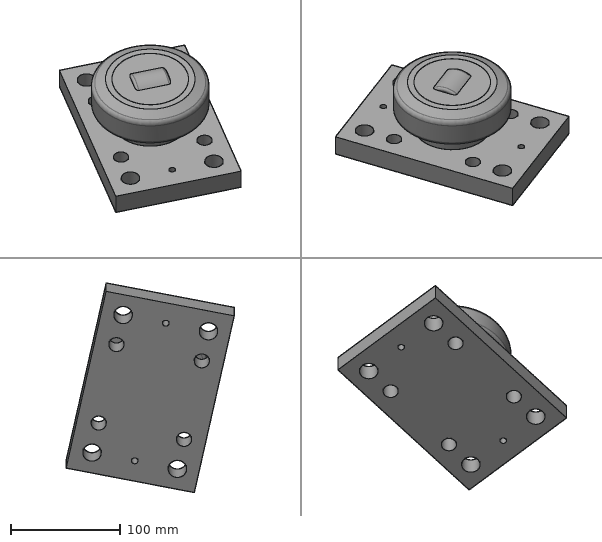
import cadquery as cq

PLATE_LENGTH = 180.0
PLATE_WIDTH = 120.0
PLATE_HEIGHT = 20.0

CORNER_HOLE_DIAMETER = 17.0
CORNER_SPACING_X = 140.0
CORNER_SPACING_Y = 80.0
INNER_HOLE_DIAMETER = 13.9
INNER_SPACING_X = 80.0
INNER_SPACING_Y = CORNER_SPACING_Y
PIN_HOLE_DIAMETER = 6.0

NECK_DIAMETER = 71.0
NECK_CHAMFER = 0.5

ROLLER_DIAMETER = 108.0
ROLLER_BOTTOM = 39.6
ROLLER_TOP = 71.3
TOP_FLAT_DIAMETER = 82.0
CONE_DROP = 5.5
CONE_FILLET = 5.2
BOTTOM_FILLET = 3.0

DISC_DIAMETER = 70.2
DISC_RISE = 0.2

KEY_TOP = 75.0
KEY_RADIUS = 21.6
KEY_LENGTH = 34.2
KEY_FILLET = 2.5


def make_plate():
    """Plate with four corner holes, four inner holes and two pin holes."""
    plate = cq.Workplane("XY").box(
        PLATE_LENGTH, PLATE_WIDTH, PLATE_HEIGHT, centered=(True, True, False)
    )
    hole_patterns = (
        (CORNER_HOLE_DIAMETER, CORNER_SPACING_X, CORNER_SPACING_Y, 2),
        (INNER_HOLE_DIAMETER, INNER_SPACING_X, INNER_SPACING_Y, 2),
        (PIN_HOLE_DIAMETER, CORNER_SPACING_X, CORNER_SPACING_Y, 1),
    )
    for diameter, spacing_x, spacing_y, rows in hole_patterns:
        holes = (
            cq.Workplane("XY")
            .rarray(spacing_x, spacing_y, 2, rows)
            .circle(diameter / 2)
            .extrude(PLATE_HEIGHT)
        )
        plate = plate.cut(holes)
    return plate


def make_neck():
    """Round neck from the plate to the roller, chamfered at both ends."""
    return (
        cq.Workplane("XY", origin=(0, 0, PLATE_HEIGHT))
        .circle(NECK_DIAMETER / 2)
        .extrude(ROLLER_BOTTOM - PLATE_HEIGHT)
        .edges("%CIRCLE")
        .chamfer(NECK_CHAMFER)
    )


def make_roller():
    """Roller with a rounded lower edge, a conical upper edge and a raised disc."""
    cone_base = ROLLER_TOP - CONE_DROP
    radius = ROLLER_DIAMETER / 2
    roller = (
        cq.Workplane("XZ")
        .moveTo(0, ROLLER_BOTTOM)
        .lineTo(radius, ROLLER_BOTTOM)
        .lineTo(radius, cone_base)
        .lineTo(TOP_FLAT_DIAMETER / 2, ROLLER_TOP)
        .lineTo(0, ROLLER_TOP)
        .close()
        .revolve(360, (0, 0), (0, 1))
    )
    roller = roller.faces("<Z").edges("%CIRCLE").fillet(BOTTOM_FILLET)
    roller = roller.faces("%CONE").edges("%CIRCLE").edges("<Z").fillet(CONE_FILLET)
    disc = (
        cq.Workplane("XY", origin=(0, 0, ROLLER_TOP))
        .circle(DISC_DIAMETER / 2)
        .extrude(DISC_RISE)
    )
    return roller.union(disc)


def make_key():
    """Cylinder lying along Y with rounded end edges; only its crown stands proud."""
    return (
        cq.Workplane("XZ", origin=(0, 0, KEY_TOP - KEY_RADIUS))
        .circle(KEY_RADIUS)
        .extrude(KEY_LENGTH / 2, both=True)
        .edges("%CIRCLE")
        .fillet(KEY_FILLET)
    )


result = make_plate().union(make_neck()).union(make_roller()).union(make_key())